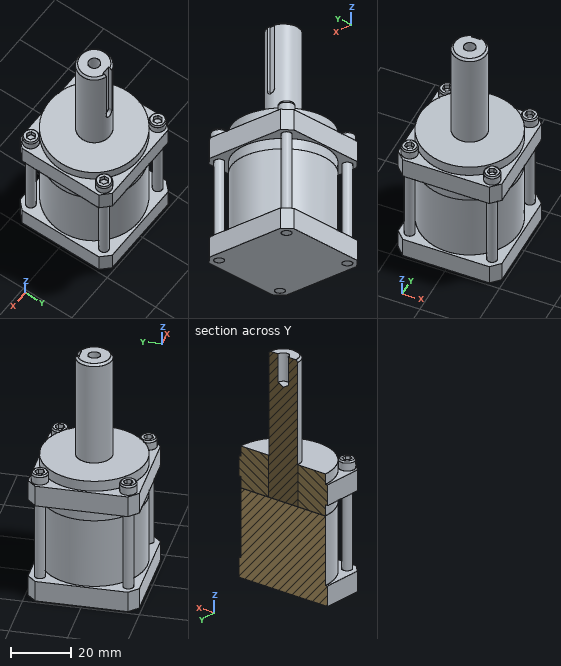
import cadquery as cq
import math

plate_width = 38.1
overall_height = 86.4

plate_thickness = 7.6
corner_cut = 3.2

housing_diameter = 36.5
lower_housing_top = 33.0
collar_height = 3.9
boss_height = 3.8

shaft_diameter = 12.6
shaft_chamfer = 0.8
centre_hole_diameter = 4.15
centre_hole_depth = 10.4
drill_tip_angle = 118.0
keyway_width = 3.1
keyway_depth = 1.55
keyway_length = 25.9

screw_spacing = 30.2
screw_diameter = 3.6
head_diameter = 5.8
head_height = 3.5
head_chamfer_width = 0.35
head_chamfer_height = 0.7
socket_width = 2.85
socket_depth = 1.7

front_plate_bottom = lower_housing_top + collar_height
front_plate_top = front_plate_bottom + plate_thickness
boss_top = front_plate_top + boss_height
screw_offset = screw_spacing / 2
screw_positions = [
    (x, y)
    for x in (-screw_offset, screw_offset)
    for y in (-screw_offset, screw_offset)
]


def cylinder(diameter, bottom, top):
    return cq.Workplane("XY").workplane(offset=bottom).circle(diameter / 2).extrude(top - bottom)


def drill_tip(diameter, base_level):
    """Cone that closes a drilled hole, pointing down from base_level."""
    radius = diameter / 2
    tip_height = radius / math.tan(math.radians(drill_tip_angle / 2))
    base_centre = cq.Vector(0, 0, base_level)
    downward = cq.Vector(0, 0, -1)
    return cq.Workplane(cq.Solid.makeCone(radius, 0, tip_height, base_centre, downward))


def square_plate(bottom):
    """Square plate with cut corners and a clearance hole at each screw."""
    return (
        cq.Workplane("XY")
        .workplane(offset=bottom)
        .rect(plate_width, plate_width)
        .extrude(plate_thickness)
        .edges("|Z")
        .chamfer(corner_cut)
        .faces(">Z")
        .workplane()
        .pushPoints(screw_positions)
        .hole(screw_diameter)
    )


def make_rear_housing():
    """Base plate with the lower part of the round housing on it."""
    return square_plate(0).union(cylinder(housing_diameter, plate_thickness, lower_housing_top))


def make_front_housing():
    """Front plate with a collar below, a boss above and a through bore for the shaft."""
    collar = cylinder(housing_diameter, lower_housing_top, front_plate_bottom)
    boss = cylinder(housing_diameter, front_plate_top, boss_top)
    bore = cylinder(shaft_diameter, lower_housing_top, boss_top)
    return square_plate(front_plate_bottom).union(collar).union(boss).cut(bore)


def make_keyway():
    """Keyway cutter on the +Y side, open at the shaft end and round at the bottom."""
    radius = keyway_width / 2
    floor = shaft_diameter / 2 - keyway_depth
    round_centre = overall_height - keyway_length + radius
    return (
        cq.Workplane("XZ", origin=(0, floor, 0))
        .moveTo(-radius, overall_height)
        .lineTo(-radius, round_centre)
        .threePointArc((0, round_centre - radius), (radius, round_centre))
        .lineTo(radius, overall_height)
        .close()
        .extrude(-2 * keyway_depth)
    )


def make_shaft():
    """Keyed output shaft with a chamfered end and a blind centre hole."""
    hole_bottom = overall_height - centre_hole_depth
    centre_hole = cylinder(centre_hole_diameter, hole_bottom, overall_height)
    return (
        cylinder(shaft_diameter, lower_housing_top, overall_height)
        .faces(">Z")
        .chamfer(shaft_chamfer)
        .cut(centre_hole)
        .cut(drill_tip(centre_hole_diameter, hole_bottom))
        .cut(make_keyway())
    )


def make_screw(x, y):
    """Socket head screw whose shank passes through both plates."""
    head_top = front_plate_top + head_height
    head_radius = head_diameter / 2
    shank_radius = screw_diameter / 2
    body = (
        cq.Workplane("XZ")
        .polyline([
            (0, 0),
            (shank_radius, 0),
            (shank_radius, front_plate_top),
            (head_radius, front_plate_top),
            (head_radius, head_top - head_chamfer_height),
            (head_radius - head_chamfer_width, head_top),
            (0, head_top),
        ])
        .close()
        .revolve(360, (0, 0), (0, 1))
    )
    socket_bottom = head_top - socket_depth
    hexagon_diameter = socket_width / math.cos(math.pi / 6)
    socket = (
        cq.Workplane("XY")
        .workplane(offset=socket_bottom)
        .transformed(rotate=(0, 0, 90))
        .polygon(6, hexagon_diameter)
        .extrude(socket_depth)
    )
    return body.cut(socket).cut(drill_tip(socket_width, socket_bottom)).translate((x, y, 0))


rear_housing = make_rear_housing()
front_housing = make_front_housing()
shaft = make_shaft()
screws = [make_screw(x, y) for x, y in screw_positions]

result = cq.Compound.makeCompound([
    rear_housing.val(),
    front_housing.val(),
    shaft.val(),
    *[screw.val() for screw in screws],
])